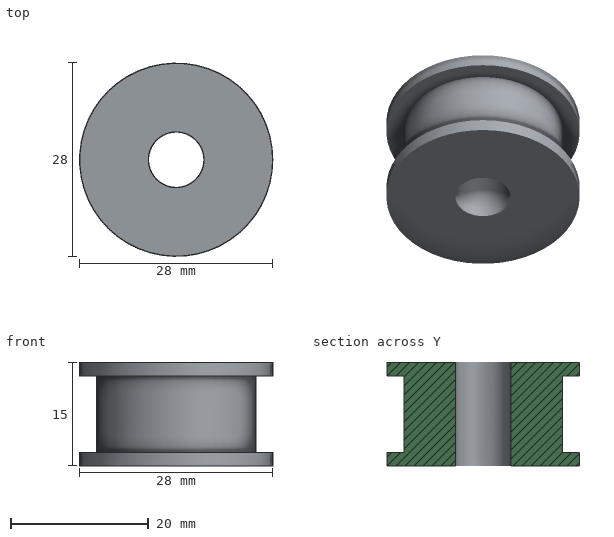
import cadquery as cq

flange_diameter = 28.0
hub_diameter = 23.07
bore_diameter = 8.0
total_height = 15.0
flange_thickness = 2.0


def disc(diameter, height):
    """Cylinder about Z, centred on the origin."""
    return cq.Workplane("XY").cylinder(height, diameter / 2)


spool = disc(hub_diameter, total_height)
flange_offset = (total_height - flange_thickness) / 2
for side in (-1, 1):
    flange = disc(flange_diameter, flange_thickness)
    spool = spool.union(flange.translate((0, 0, side * flange_offset)))

spool = spool.cut(disc(bore_diameter, total_height))

result = spool.clean()